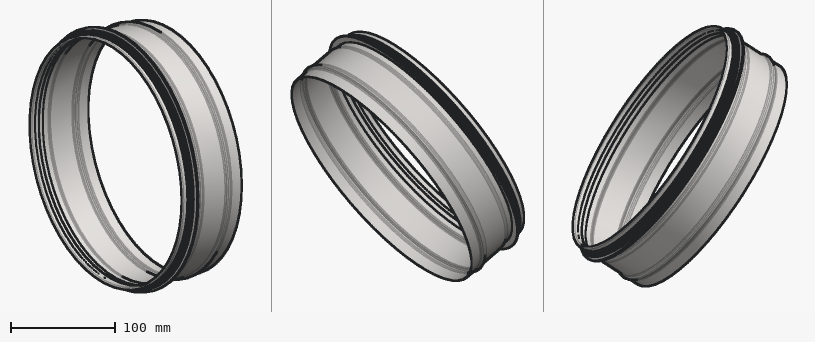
import cadquery as cq
import math


length = 70.0
wall = 0.6
sleeve_radius = 249.0 / 2

bead_y = 54.5
bead_half_width = 3.0
bead_peak = 2.2
bead_crest_round = 2.0
bead_foot_round = 2.3

groove_radius = 245.3 / 2
groove_ramp_top_y = 24.6
groove_ramp_foot_y = 21.8
groove_ramp_round = 2.5
groove_end_y = 6.0

rim_inner_radius = 243.2 / 2
rim_round = (sleeve_radius - rim_inner_radius) / 2
rim_inner_length = 9.9

seal_band_radius = 248.0 / 2
seal_lips = [
    (251.5 / 2, 7.8, 1.0),
    (254.5 / 2, 10.0, 1.0),
    (259.3 / 2, 13.5, 1.5),
]

shortest_line = 0.003


def rounded_outline(corners):
    """Closed outline through (radius, y, rounding) corners, rounded by tangent arcs."""
    trimmed = []
    for i, (x, y, rounding) in enumerate(corners):
        if rounding == 0:
            trimmed.append(((x, y), None, (x, y)))
            continue
        here = cq.Vector(x, y)
        before = (cq.Vector(*corners[i - 1][:2]) - here).normalized()
        after = (cq.Vector(*corners[(i + 1) % len(corners)][:2]) - here).normalized()
        half_angle = before.getAngle(after) / 2
        setback = rounding / math.tan(half_angle)
        to_arc = rounding / math.sin(half_angle) - rounding
        start = here + before * setback
        middle = here + (before + after).normalized() * to_arc
        end = here + after * setback
        trimmed.append((start.toTuple()[:2], middle.toTuple()[:2], end.toTuple()[:2]))

    outline = cq.Workplane("XY").moveTo(*trimmed[0][2])
    position = trimmed[0][2]
    for start, middle, end in trimmed[1:]:
        if math.dist(position, start) > shortest_line:
            outline = outline.lineTo(*start)
        if middle:
            outline = outline.threePointArc(middle, end)
        position = end
    return outline.close()


def revolve_about_y(outline):
    return outline.revolve(360, (0, 0, 0), (0, 1, 0))


def beaded_and_grooved_face(inset):
    """Sheet corners from the open end into the groove, on a face inset from the outside."""
    outside = sleeve_radius - inset
    groove = groove_radius - inset
    return [
        (outside, length, 0),
        (outside, bead_y + bead_half_width, bead_foot_round + inset),
        (outside + bead_peak, bead_y, bead_crest_round - inset),
        (outside, bead_y - bead_half_width, bead_foot_round + inset),
        (outside, groove_ramp_top_y, groove_ramp_round - inset),
        (groove, groove_ramp_foot_y, groove_ramp_round + inset),
    ]


def make_sleeve():
    outer_face = beaded_and_grooved_face(0)
    inner_face = beaded_and_grooved_face(wall)
    rim = [
        (groove_radius, groove_end_y, 0),
        (sleeve_radius, groove_end_y, 0),
        (sleeve_radius, 0, rim_round),
        (rim_inner_radius, 0, rim_round),
        (rim_inner_radius, rim_inner_length, 0),
        (groove_radius - wall, rim_inner_length, 0),
    ]
    return revolve_about_y(rounded_outline(outer_face + rim + inner_face[::-1]))


def make_seal():
    band_top_y = seal_lips[-1][1] + seal_lips[-1][2]
    corners = [(groove_radius, groove_end_y), (seal_band_radius, groove_end_y)]
    for tip_radius, lower_y, thickness in seal_lips:
        upper_y = lower_y + thickness
        corners += [
            (seal_band_radius, lower_y),
            (tip_radius, lower_y),
            (tip_radius, upper_y),
            (seal_band_radius, upper_y),
        ]
    corners[-1] = (groove_radius, band_top_y)
    return revolve_about_y(cq.Workplane("XY").polyline(corners).close())


sleeve = make_sleeve()
seal = make_seal()
result = cq.Compound.makeCompound([sleeve.val(), seal.val()])